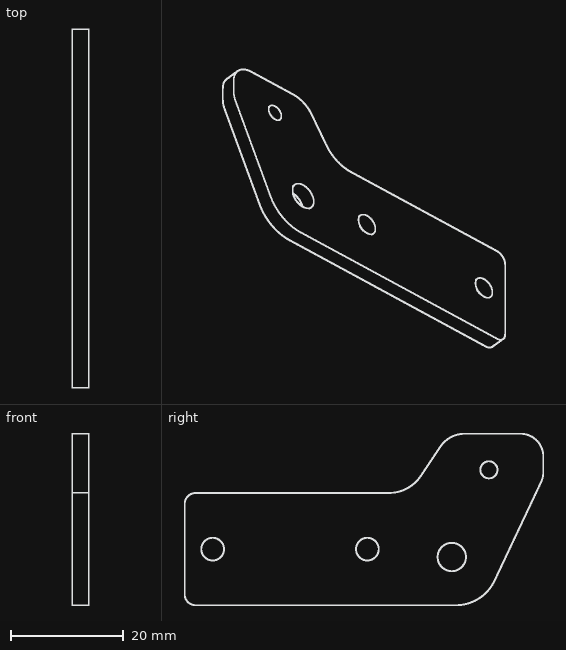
import cadquery as cq

thickness = 3.0
length = 63.8
height = 30.54
arm_height = 20.0

bottom_corner_y = length - 10.75
slant_top_z = 22.78
head_corner_y = length - 16.8
step_slope = 1.5
step_foot_y = head_corner_y - (height - arm_height) / step_slope

arm_end_radius = 2.0
heel_radius = 7.65
slant_top_radius = 4.0
head_back_radius = 4.1
head_front_radius = 5.25
step_foot_radius = 6.8

arm_hole_diameter = 4.0
arm_hole_z = arm_height / 2
end_hole_y = 5.0
arm_hole_spacing = 27.5
holes = [
    (end_hole_y, arm_hole_z, arm_hole_diameter),
    (end_hole_y + arm_hole_spacing, arm_hole_z, arm_hole_diameter),
    (47.5, 8.6, 5.0),
    (54.1, 24.1, 3.0),
]

corners = [
    (0, 0, arm_end_radius),
    (bottom_corner_y, 0, heel_radius),
    (length, slant_top_z, slant_top_radius),
    (length, height, head_back_radius),
    (head_corner_y, height, head_front_radius),
    (step_foot_y, arm_height, step_foot_radius),
    (0, arm_height, arm_end_radius),
]


def make_plate():
    """Extrude the sharp outline, then round each of its corner edges."""
    outline = [(y, z) for y, z, _ in corners]
    plate = cq.Workplane("YZ").polyline(outline).close().extrude(thickness)
    for y, z, radius in corners:
        corner_edge = cq.selectors.NearestToPointSelector((thickness / 2, y, z))
        plate = plate.edges("|X").edges(corner_edge).fillet(radius)
    return plate


def drill_holes(plate):
    """Cut every round hole through the full thickness."""
    for y, z, diameter in holes:
        cutter = cq.Workplane("YZ").center(y, z).circle(diameter / 2).extrude(thickness)
        plate = plate.cut(cutter)
    return plate


result = drill_holes(make_plate())